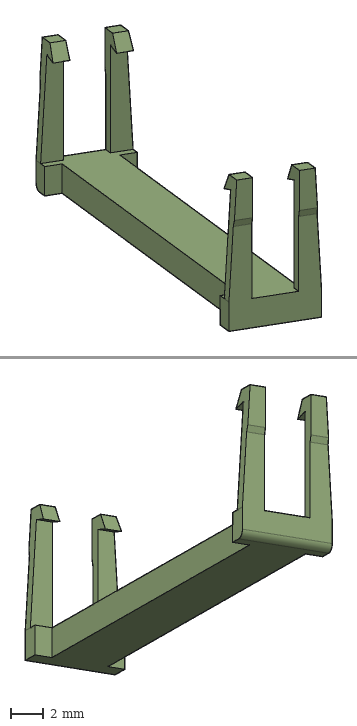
import cadquery as cq

length = 28.9
foot_width = 6.3
height = 9.9

arm_bulge = 0.12
base_length = length - 2 * arm_bulge
base_width = 3.93
base_thickness = 1.95
foot_length = 1.3
edge_radius = 0.5

arm_thickness = 0.7
arm_gap = 3.18
arm_top_width = 5.35
bulge_start = 6.85
bulge_end = 7.28

hook_top_length = 1.15
hook_reach = 1.75
hook_tip_z = height - 1.13
hook_root_z = height - 0.9

end_x = base_length / 2
outer_x = length / 2
inner_x = end_x - arm_thickness


def make_base():
    """Narrow plate with a wide foot across each end, bottom at Z = 0."""
    base = cq.Workplane("XY").box(base_length, base_width, base_thickness, centered=(True, True, False))
    for side in (-1, 1):
        foot = cq.Workplane("XY").box(foot_length, foot_width, base_thickness, centered=(True, True, False))
        base = base.union(foot.translate((side * (end_x - foot_length / 2), 0, 0)))
    return base.faces("<X").edges("<Z").fillet(edge_radius)


def make_right_arms():
    """Pair of hooked arms at the +X end, tapered on their outer Y sides."""
    profile = (
        cq.Workplane("XZ")
        .polyline([
            (inner_x, base_thickness),
            (end_x, base_thickness),
            (end_x, bulge_start),
            (outer_x, bulge_end),
            (outer_x, height),
            (outer_x - hook_top_length, height),
            (outer_x - hook_reach, hook_tip_z),
            (inner_x, hook_root_z),
        ])
        .close()
        .extrude(foot_width / 2, both=True)
    )
    taper = (
        cq.Workplane("YZ")
        .polyline([
            (-foot_width / 2, base_thickness),
            (foot_width / 2, base_thickness),
            (arm_top_width / 2, height),
            (-arm_top_width / 2, height),
        ])
        .close()
        .extrude(length)
    )
    gap = (
        cq.Workplane("XY")
        .workplane(offset=base_thickness)
        .box(2 * length, arm_gap, height, centered=(True, True, False))
    )
    return profile.intersect(taper).cut(gap)


right_arms = make_right_arms()
left_arms = right_arms.mirror("YZ")
result = make_base().union(right_arms).union(left_arms)